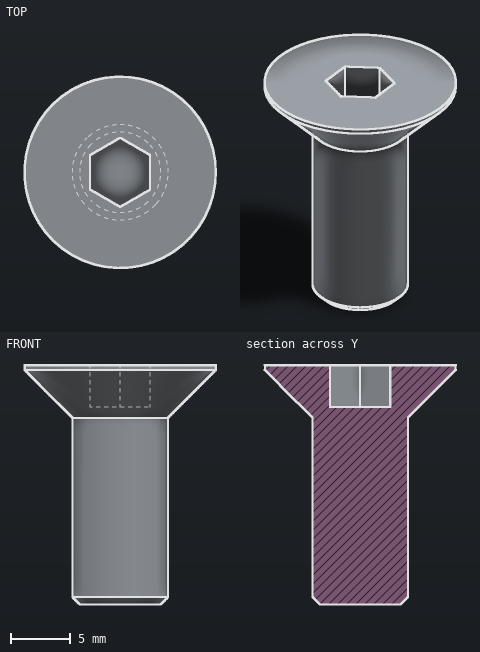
import cadquery as cq
import math

total_length = 20.0
head_diameter = 16.0
shank_diameter = 8.0
rim_height = 0.4
tip_chamfer = 0.62

socket_across_flats = 5.0
socket_depth = 3.5

head_radius = head_diameter / 2
shank_radius = shank_diameter / 2
tip_radius = shank_radius - tip_chamfer

cone_height = head_radius - shank_radius
rim_bottom = total_length - rim_height
cone_bottom = rim_bottom - cone_height


def screw_body():
    """Revolve the half profile: chamfered tip, shank, cone and rim."""
    return (
        cq.Workplane("XZ")
        .moveTo(0, 0)
        .lineTo(tip_radius, 0)
        .lineTo(shank_radius, tip_chamfer)
        .lineTo(shank_radius, cone_bottom)
        .lineTo(head_radius, rim_bottom)
        .lineTo(head_radius, total_length)
        .lineTo(0, total_length)
        .close()
        .revolve(360, (0, 0), (0, 1))
    )


def hex_socket():
    """Flat-bottomed hexagonal prism sunk from the top of the head."""
    across_corners = socket_across_flats / math.cos(math.pi / 6)
    return (
        cq.Workplane("XY", origin=(0, 0, total_length - socket_depth))
        .transformed(rotate=(0, 0, 90))
        .polygon(6, across_corners)
        .extrude(socket_depth)
    )


result = screw_body().cut(hex_socket())